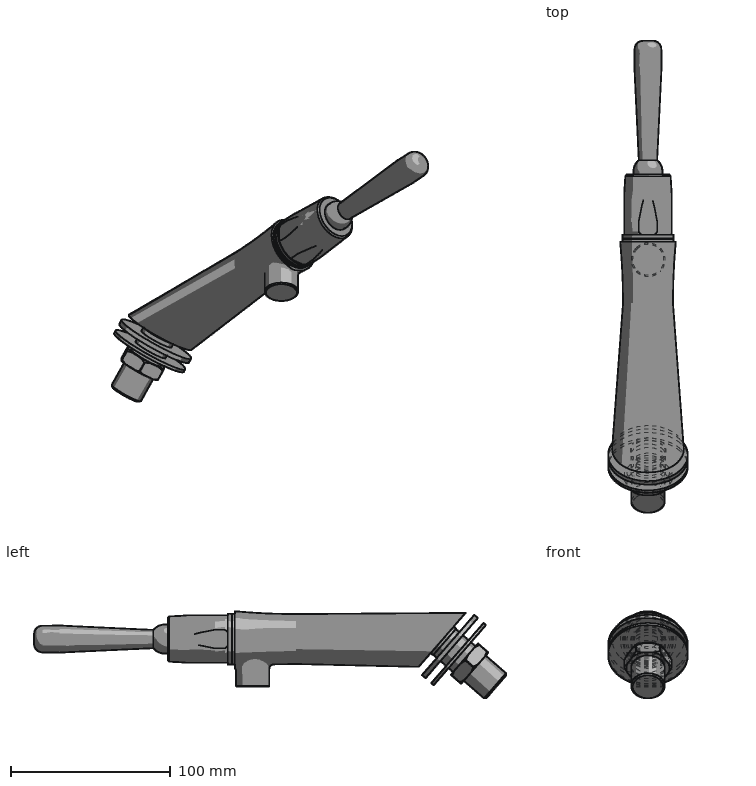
import cadquery as cq
import math


lever_tip_y = 137.0
lever_tip_radius = 8.4
lever_tip_rounding = 5.5
lever_widest_y = 120.8
lever_widest_radius = 8.6
lever_neck_y = 61.8
lever_neck_radius = 5.8
ball_radius = 9.2
ball_center_y = 55.0

bonnet_end_y = 53.2
bonnet_end_radius = 14.2
bonnet_end_chamfer = 1.0
bonnet_radius = 16.0
bonnet_straight_y = 23.6
bonnet_shoulder_y = 17.4
bonnet_flat_count = 4
bonnet_flat_distance = 14.9
groove_radius = 15.5
front_ring_y = 15.6
thin_groove_y = 13.2
thin_groove_width = 0.5

barrel_front_y = 11.2
barrel_front_radius = 17.5
barrel_waist_y = -27.2
barrel_waist_radius = 15.7
barrel_end_y = -118.6
barrel_end_z = -0.5
barrel_end_radius = 22.5

spout_radius = 10.5
spout_bottom_z = -30.0
spout_chamfer = 0.8
spout_fillet = 2.5

shank_slope = 41.0
shank_root_radius = 11.0
shank_root_length = 2.0
shank_radius = 10.75
thread_radius = 10.5
thread_end = 44.8
thread_chamfer = 1.0
shank_embed = 5.0

hex_start = 18.4
hex_end = 27.0
hex_across_flats = 26.0
hex_corner_radius = 14.9
hex_chamfer_inset = 1.5
hex_chamfer_height = 1.25

washer_radius = 25.0
thick_washer_start = 4.9
thick_washer_thickness = 3.0
thin_washer_start = 12.6
thin_washer_thickness = 2.0

slope = math.radians(shank_slope)
shank_plane = cq.Plane(
    origin=(0, barrel_end_y, barrel_end_z),
    xDir=(1, 0, 0),
    normal=(0, -math.cos(slope), -math.sin(slope)),
)


def shank_disc(radius, start, end):
    """Cylinder on the shank axis between two stations."""
    return cq.Workplane(shank_plane).workplane(offset=start).circle(radius).extrude(end - start)


def make_lever():
    stick = (
        cq.Workplane("XY")
        .moveTo(0, ball_center_y)
        .lineTo(lever_neck_radius, ball_center_y)
        .lineTo(lever_neck_radius, lever_neck_y)
        .lineTo(lever_widest_radius, lever_widest_y)
        .lineTo(lever_tip_radius, lever_tip_y)
        .lineTo(0, lever_tip_y)
        .close()
        .revolve(360, (0, 0, 0), (0, 1, 0))
        .faces(">Y")
        .edges()
        .fillet(lever_tip_rounding)
    )
    ball = cq.Workplane("XY").sphere(ball_radius).translate((0, ball_center_y, 0))
    return stick.union(ball)


def make_bonnet():
    bonnet = (
        cq.Workplane("XY")
        .moveTo(0, barrel_front_y)
        .lineTo(bonnet_radius, barrel_front_y)
        .lineTo(bonnet_radius, thin_groove_y - thin_groove_width)
        .lineTo(groove_radius, thin_groove_y - thin_groove_width)
        .lineTo(groove_radius, thin_groove_y)
        .lineTo(bonnet_radius, thin_groove_y)
        .lineTo(bonnet_radius, front_ring_y)
        .lineTo(groove_radius, front_ring_y)
        .lineTo(bonnet_radius, bonnet_shoulder_y)
        .lineTo(bonnet_radius, bonnet_straight_y)
        .lineTo(bonnet_end_radius, bonnet_end_y)
        .lineTo(0, bonnet_end_y)
        .close()
        .revolve(360, (0, 0, 0), (0, 1, 0))
        .faces(">Y")
        .edges()
        .chamfer(bonnet_end_chamfer)
    )
    flat_length = bonnet_end_y - front_ring_y
    flat_cutter = cq.Workplane("XY").box(
        2 * bonnet_radius, flat_length, bonnet_radius, centered=(True, False, False)
    ).translate((0, front_ring_y, bonnet_flat_distance))
    for index in range(bonnet_flat_count):
        turn = index * 360 / bonnet_flat_count
        bonnet = bonnet.cut(flat_cutter.rotate((0, 0, 0), (0, 1, 0), turn))
    return bonnet


def make_waisted_barrel():
    """Front part of the barrel with the spout blended in and then trimmed flush at its front."""
    overhang = 2 * spout_fillet
    waist_drop = barrel_front_radius - barrel_waist_radius
    waist_length = barrel_front_y - barrel_waist_y
    arc_radius = (waist_length**2 + waist_drop**2) / (2 * waist_drop)
    arc_middle_y = barrel_waist_y + waist_length / 2
    arc_middle_x = barrel_waist_radius + arc_radius - math.sqrt(arc_radius**2 - (waist_length / 2) ** 2)
    barrel = (
        cq.Workplane("XY")
        .moveTo(0, barrel_waist_y)
        .lineTo(barrel_waist_radius, barrel_waist_y)
        .threePointArc((arc_middle_x, arc_middle_y), (barrel_front_radius, barrel_front_y))
        .lineTo(barrel_front_radius, barrel_front_y + overhang)
        .lineTo(0, barrel_front_y + overhang)
        .close()
        .revolve(360, (0, 0, 0), (0, 1, 0))
    )
    spout = (
        cq.Workplane("XY", origin=(0, 0, spout_bottom_z))
        .circle(spout_radius)
        .extrude(-spout_bottom_z)
        .faces("<Z")
        .edges()
        .chamfer(spout_chamfer)
    )
    joint = cq.selectors.BoxSelector(
        (-spout_radius, -spout_radius, -barrel_front_radius),
        (spout_radius, spout_radius, -barrel_waist_radius / 2),
    )
    barrel = barrel.union(spout).edges(joint).fillet(spout_fillet)
    trim_size = 4 * barrel_front_radius
    trim = cq.Workplane("XZ", origin=(0, barrel_front_y, 0)).rect(trim_size, trim_size).extrude(-trim_size)
    return barrel.cut(trim)


def make_widening_barrel():
    """Rear part of the barrel: straight lines from the round waist to the slanted round end."""
    waist_plane = cq.Plane(origin=(0, barrel_waist_y, 0), xDir=(1, 0, 0), normal=(0, -1, 0))
    waist = cq.Workplane(waist_plane).circle(barrel_waist_radius).wires().val()
    end = cq.Workplane(shank_plane).circle(barrel_end_radius).wires().val()
    return cq.Workplane(obj=cq.Solid.makeLoft([waist, end], True))


def make_hexagon():
    hex_corner_diameter = hex_across_flats / math.cos(math.pi / 6)
    prism = (
        cq.Workplane(shank_plane)
        .workplane(offset=hex_start)
        .polygon(6, hex_corner_diameter)
        .extrude(hex_end - hex_start)
    )
    turned = shank_disc(hex_corner_radius, hex_start, hex_end)
    turned = turned.edges().chamfer(hex_chamfer_height, hex_chamfer_inset)
    return prism.intersect(turned)


def make_shank():
    thread = shank_disc(thread_radius, hex_start, thread_end)
    thread = thread.faces("<Y").edges().chamfer(thread_chamfer)
    return (
        shank_disc(shank_root_radius, -shank_embed, shank_root_length)
        .union(shank_disc(shank_radius, 0, hex_start))
        .union(thread)
        .union(make_hexagon())
    )


def make_tap():
    return (
        make_waisted_barrel()
        .union(make_widening_barrel())
        .union(make_bonnet())
        .union(make_lever())
        .union(make_shank())
    )


def make_washer(start, thickness):
    bore = shank_disc(shank_radius, start, start + thickness)
    return shank_disc(washer_radius, start, start + thickness).cut(bore)


tap = make_tap()
thick_washer = make_washer(thick_washer_start, thick_washer_thickness)
thin_washer = make_washer(thin_washer_start, thin_washer_thickness)

result = cq.Compound.makeCompound([tap.solids().val(), thick_washer.val(), thin_washer.val()])